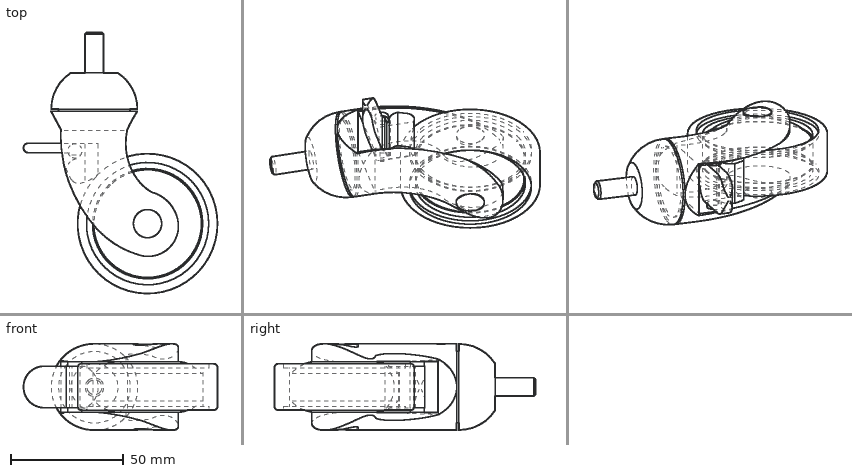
import cadquery as cq
import math


OVERALL_WIDTH = 38.5
BODY_RADIUS = OVERALL_WIDTH / 2
SWIVEL_X = -23.8
FORK_TOP_Y = 50.1
LEG_INNER_Z = 11.3

STEM_TOP_Y = 85.2
STEM_RADIUS = 4.13
STEM_CHAMFER = 0.8
NECK_RADIUS = 16.0
NECK_HEIGHT = 0.9
DOME_HEIGHT = 16.2

FLARE_BOTTOM_Y = 41.9
SLOT_END_Y = 41.7
BEND_TANGENT = 26.8
SPINE_DROP_ANGLE = 35.0
SPINE_OFFSET = 1.2
LEG_END_RADIUS = 14.4
LEG_TIP_X = 13.7
AXLE_FLAT_RADIUS = 6.3
AXLE_FLAT_Z = 19.0

WHEEL_RADIUS = 31.2
TYRE_HALF_WIDTH = 10.4
TYRE_FILLET = 1.7
TYRE_STEP_RADIUS = 27.2
TYRE_STEP_DEPTH = 1.9
HUB_RADIUS = 24.6
HUB_DOME_RADIUS = 24.0
HUB_RIM_Z = 6.0
HUB_SHOULDER = (17.9, 10.4)
HUB_FLAT_RADIUS = 14.4

LEVER_HALF_WIDTH = 9.3
LEVER_TIP_X = -55.3
LEVER_BOTTOM_Y = 31.5
LEVER_THICKNESS = 4.3
LEVER_TOP_Y = LEVER_BOTTOM_Y + LEVER_THICKNESS
SHOE_CONTACT = (-22.1, 22.1)
SHOE_CORNER_X = -28.0
UNDERCUT_TOP_Y = 30.6
UNDERCUT_BOTTOM_Y = 29.1
UNDERCUT_END_X = -30.3
PIVOT_X = -32.5
PIVOT_Y = 32.5
PIVOT_RADIUS = 3.1


def extrude_both(outline, half_width):
    """Extrude an XY outline symmetrically about the mid plane."""
    return outline.extrude(2 * half_width).translate((0, 0, -half_width))


def make_cap():
    """Plain stem, truncated dome and the thin neck that rests on the fork."""
    dome_base_y = FORK_TOP_Y + NECK_HEIGHT
    dome_top_y = dome_base_y + DOME_HEIGHT
    dome_top_radius = math.sqrt(BODY_RADIUS**2 - DOME_HEIGHT**2)
    mid_angle = math.asin(DOME_HEIGHT / BODY_RADIUS) / 2
    dome_mid = (BODY_RADIUS * math.cos(mid_angle), dome_base_y + BODY_RADIUS * math.sin(mid_angle))
    half_section = (
        cq.Workplane("XY")
        .moveTo(0, FORK_TOP_Y)
        .lineTo(NECK_RADIUS, FORK_TOP_Y)
        .lineTo(NECK_RADIUS, dome_base_y)
        .lineTo(BODY_RADIUS, dome_base_y)
        .threePointArc(dome_mid, (dome_top_radius, dome_top_y))
        .lineTo(STEM_RADIUS, dome_top_y)
        .lineTo(STEM_RADIUS, STEM_TOP_Y - STEM_CHAMFER)
        .lineTo(STEM_RADIUS - STEM_CHAMFER, STEM_TOP_Y)
        .lineTo(0, STEM_TOP_Y)
        .close()
    )
    cap = half_section.revolve(360, (0, 0, 0), (0, 1, 0))
    return cap.translate((SWIVEL_X, 0, 0))


def make_fork_tube():
    """Solid round bar that runs down the swivel axis and bends towards the axle."""
    drop = math.radians(SPINE_DROP_ANGLE)
    direction = (math.cos(drop), -math.sin(drop))
    corner_y = -SWIVEL_X * math.tan(drop) - SPINE_OFFSET / math.cos(drop)
    turn = math.pi / 2 - drop
    bend_radius = BEND_TANGENT / math.tan(turn / 2)
    bend_start_y = corner_y + BEND_TANGENT
    bend_mid = (
        SWIVEL_X + bend_radius * (1 - math.cos(turn / 2)),
        bend_start_y - bend_radius * math.sin(turn / 2),
    )
    bend_end = (SWIVEL_X + BEND_TANGENT * direction[0], corner_y + BEND_TANGENT * direction[1])
    spine_reach = 4 * LEG_END_RADIUS
    spine = (
        cq.Workplane("XY")
        .moveTo(SWIVEL_X, FORK_TOP_Y)
        .lineTo(SWIVEL_X, bend_start_y)
        .threePointArc(bend_mid, bend_end)
        .lineTo(SWIVEL_X + spine_reach * direction[0], corner_y + spine_reach * direction[1])
    )
    start_plane = cq.Plane(origin=(SWIVEL_X, FORK_TOP_Y, 0), xDir=(1, 0, 0), normal=(0, -1, 0))
    return cq.Workplane(start_plane).circle(BODY_RADIUS).sweep(spine)


def fork_outline():
    """Side outline of the fork: flared head, curved leg and round end about the axle."""
    leg_front = (1.6, 14.1)
    leg_back = (-5.1, -13.5)
    leg_tip = (LEG_TIP_X, 0)
    end_diagonal = LEG_END_RADIUS * math.sqrt(0.5)
    return (
        cq.Workplane("XY")
        .moveTo(SWIVEL_X - BODY_RADIUS, FORK_TOP_Y)
        .lineTo(SWIVEL_X + BODY_RADIUS, FORK_TOP_Y)
        .threePointArc((-7.0, 45.9), (-9.0, FLARE_BOTTOM_Y))
        .spline([(-9.5, 33.2), (-6.5, 22.8), leg_front], includeCurrent=True)
        .threePointArc((9.4, 9.4), leg_tip)
        .threePointArc((end_diagonal, -end_diagonal), leg_back)
        .spline(
            [(-19.1, -5.7), (-31.1, 9.4), (-37.6, 27.7), (-38.7, FLARE_BOTTOM_Y)],
            includeCurrent=True,
        )
        .close()
    )


def make_fork():
    """Round bar trimmed to the side outline, slotted for the wheel, with flats at the axle."""
    fork = make_fork_tube().intersect(extrude_both(fork_outline(), OVERALL_WIDTH))
    slot_length = SLOT_END_Y + WHEEL_RADIUS
    slot = cq.Workplane("XY").box(4 * WHEEL_RADIUS, slot_length, 2 * LEG_INNER_Z)
    slot = slot.translate((0, SLOT_END_Y - slot_length / 2, 0))
    axle_boss = extrude_both(cq.Workplane("XY").circle(AXLE_FLAT_RADIUS), AXLE_FLAT_Z)
    axle_column = extrude_both(cq.Workplane("XY").circle(AXLE_FLAT_RADIUS), OVERALL_WIDTH)
    return fork.cut(axle_column).union(axle_boss).cut(slot)


def make_tyre():
    """Rounded tyre ring with a stepped seat around the hub on both faces."""
    ring = extrude_both(cq.Workplane("XY").circle(WHEEL_RADIUS), TYRE_HALF_WIDTH)
    ring = ring.edges().fillet(TYRE_FILLET)
    bore = extrude_both(cq.Workplane("XY").circle(HUB_RADIUS), TYRE_HALF_WIDTH)
    ring = ring.cut(bore)
    seat_z = TYRE_HALF_WIDTH - TYRE_STEP_DEPTH
    step = cq.Workplane("XY").workplane(offset=seat_z).circle(TYRE_STEP_RADIUS).extrude(TYRE_STEP_DEPTH)
    return ring.cut(step).cut(step.mirror("XY"))


def make_hub():
    """Hub disc with a domed face on each side that reaches the fork legs."""
    shoulder_r, shoulder_z = HUB_SHOULDER
    half_section = (
        cq.Workplane("XZ")
        .moveTo(0, -LEG_INNER_Z)
        .lineTo(HUB_FLAT_RADIUS, -LEG_INNER_Z)
        .threePointArc((shoulder_r, -shoulder_z), (HUB_DOME_RADIUS, -HUB_RIM_Z))
        .lineTo(HUB_RADIUS, -HUB_RIM_Z)
        .lineTo(HUB_RADIUS, HUB_RIM_Z)
        .lineTo(HUB_DOME_RADIUS, HUB_RIM_Z)
        .threePointArc((shoulder_r, shoulder_z), (HUB_FLAT_RADIUS, LEG_INNER_Z))
        .lineTo(0, LEG_INNER_Z)
        .close()
    )
    return half_section.revolve(360, (0, 0, 0), (0, 1, 0))


def brake_outline():
    """Side outline of the brake: pedal plate, undercut and shoe block next to the tyre."""
    plate_end = (-34.9, LEVER_BOTTOM_Y)
    shoe_shoulder = (-36.2, 24.1)
    shoe_heel = (-34.3, 20.1)
    shoe_bottom = (-30.2, 18.0)
    tip_radius = LEVER_THICKNESS / 2
    tip_centre_x = LEVER_TIP_X + tip_radius
    return (
        cq.Workplane("XY")
        .moveTo(SHOE_CONTACT[0], LEVER_TOP_Y)
        .lineTo(tip_centre_x, LEVER_TOP_Y)
        .threePointArc((LEVER_TIP_X, LEVER_TOP_Y - tip_radius), (tip_centre_x, LEVER_BOTTOM_Y))
        .lineTo(*plate_end)
        .lineTo(-33.8, UNDERCUT_TOP_Y)
        .lineTo(UNDERCUT_END_X, UNDERCUT_TOP_Y)
        .lineTo(UNDERCUT_END_X, UNDERCUT_BOTTOM_Y)
        .threePointArc((-34.9, 27.2), shoe_shoulder)
        .lineTo(*shoe_heel)
        .threePointArc((-32.7, 18.5), shoe_bottom)
        .threePointArc((-25.8, 19.6), SHOE_CONTACT)
        .close()
    )


def make_brake():
    """Brake lever with a round pedal end, a rounded shoe end and pivot bosses that meet the fork legs."""
    pedal_centre_x = LEVER_TIP_X + LEVER_HALF_WIDTH
    plan = (
        cq.Workplane("XZ")
        .moveTo(SHOE_CORNER_X, LEVER_HALF_WIDTH)
        .lineTo(pedal_centre_x, LEVER_HALF_WIDTH)
        .threePointArc((LEVER_TIP_X, 0), (pedal_centre_x, -LEVER_HALF_WIDTH))
        .lineTo(SHOE_CORNER_X, -LEVER_HALF_WIDTH)
        .threePointArc((SHOE_CONTACT[0], 0), (SHOE_CORNER_X, LEVER_HALF_WIDTH))
        .close()
        .extrude(-LEVER_TOP_Y)
    )
    lever = extrude_both(brake_outline(), LEVER_HALF_WIDTH).intersect(plan)
    for side_z in (LEVER_HALF_WIDTH, -LEG_INNER_Z):
        boss = cq.Workplane("XY").workplane(offset=side_z).center(PIVOT_X, PIVOT_Y).circle(PIVOT_RADIUS)
        lever = lever.union(boss.extrude(LEG_INNER_Z - LEVER_HALF_WIDTH))
    return lever


cap = make_cap()
fork = make_fork()
tyre = make_tyre()
hub = make_hub()
brake = make_brake()

result = cq.Compound.makeCompound([cap.val(), fork.val(), tyre.val(), hub.val(), brake.val()])